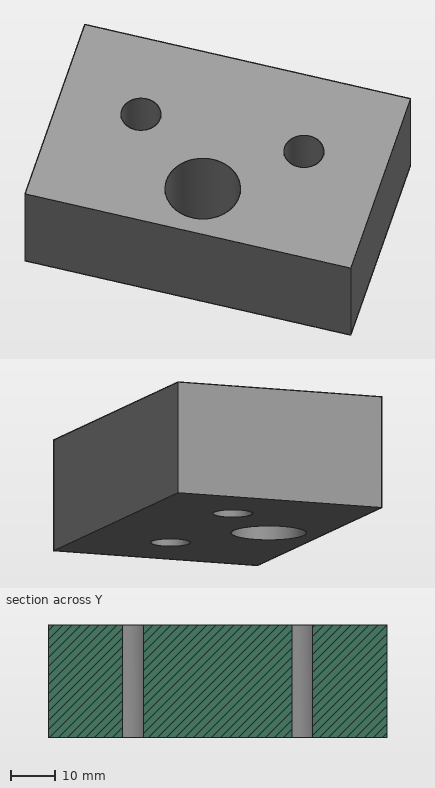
import cadquery as cq

length = 76.2
width = 49.3
height = 25.4

small_diameter = 9.0
small_spacing = length / 2
small_y = 3.9

large_diameter = 17.0
large_y = -12.35

block = cq.Workplane("XY").box(length, width, height)


def drill(body, points, diameter):
    """Drill vertical through holes at the given XY points."""
    return body.faces(">Z").workplane(origin=(0, 0, 0)).pushPoints(points).hole(diameter)


small_points = [(side * small_spacing / 2, small_y) for side in (-1, 1)]
result = drill(block, small_points, small_diameter)
result = drill(result, [(0, large_y)], large_diameter)